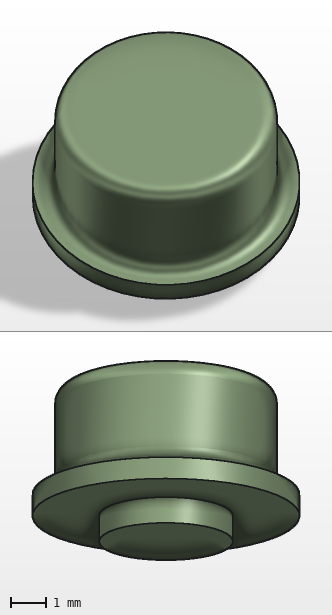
import cadquery as cq

flange_diameter = 7.62
total_height = 4.57

stub_diameter = 3.81
stub_height = 0.76
flange_thickness = 0.63
cap_diameter = 6.35
cap_height = total_height - stub_height - flange_thickness

blend_radius = 0.51


def disc(diameter, height, base_z):
    """Solid disc centred on the Z axis, standing on base_z."""
    return cq.Workplane("XY").workplane(offset=base_z).circle(diameter / 2).extrude(height)


flange_top_z = stub_height + flange_thickness

stub = disc(stub_diameter, stub_height, 0)
flange = disc(flange_diameter, flange_thickness, stub_height)
cap = disc(cap_diameter, cap_height, flange_top_z)

flange_and_cap = flange.union(cap)
foot_edge = cq.selectors.RadiusNthSelector(0)
flange_and_cap = flange_and_cap.faces("+Z").faces("<Z").edges(foot_edge).fillet(blend_radius)

flange_and_cap = flange_and_cap.faces(">Z").edges().fillet(blend_radius)

result = stub.union(flange_and_cap)